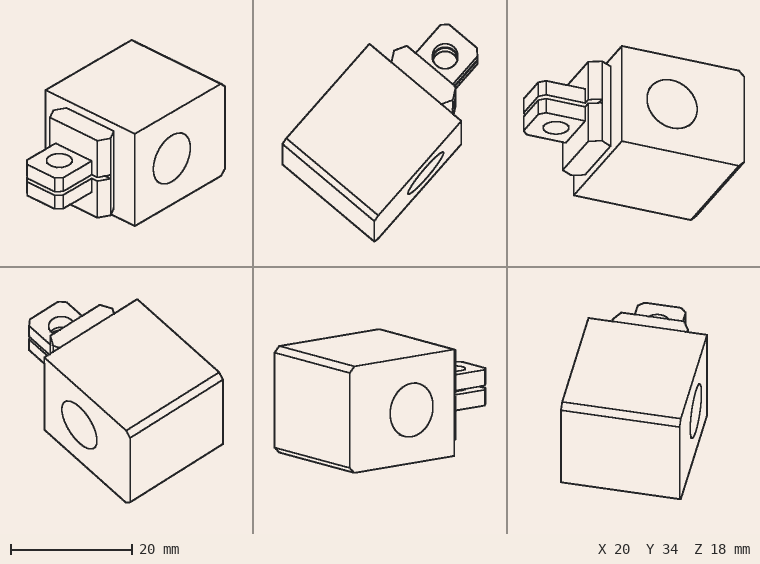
import cadquery as cq

body_width = 20.0
body_height = 18.0
body_length = 22.0
back_chamfer = 1.0
cross_hole_diameter = 9.0
cross_hole_to_back = 13.0

neck_width = 12.8
neck_length = 4.0
neck_height = 15.03
neck_bevel = 1.1

total_length = 34.0
tab_width = 8.1
tab_height = 6.05
tab_chamfer = 1.0
tab_hole_diameter = 4.2
tab_hole_to_tip = 4.5
slot_height = 0.7

tip_y = body_length - total_length
neck_middle_y = -neck_length / 2
tab_length = total_length - body_length - neck_length


def make_body():
    """Block with chamfered back edges and a round hole through along X."""
    block = cq.Workplane("XY").box(
        body_width, body_length, body_height, centered=(True, False, True)
    )
    block = block.faces(">Y").edges("|X").chamfer(back_chamfer)
    cross_hole = (
        cq.Workplane("YZ")
        .center(body_length - cross_hole_to_back, 0)
        .circle(cross_hole_diameter / 2)
        .extrude(body_width, both=True)
    )
    return block.cut(cross_hole)


def make_neck():
    """Hexagonal prism whose side points lie halfway along its length."""
    half_width = neck_width / 2
    half_flat = half_width - neck_bevel
    outline = [
        (-half_flat, 0),
        (-half_width, neck_middle_y),
        (-half_flat, -neck_length),
        (half_flat, -neck_length),
        (half_width, neck_middle_y),
        (half_flat, 0),
    ]
    return cq.Workplane("XY").polyline(outline).close().extrude(neck_height / 2, both=True)


def make_tab():
    """Flat tab with chamfered tip corners and a vertical pin hole."""
    tab = cq.Workplane("XY").box(
        tab_width, tab_length, tab_height, centered=(True, False, True)
    )
    tab = tab.translate((0, tip_y, 0))
    tab = tab.faces("<Y").edges("|Z").chamfer(tab_chamfer)
    pin_hole = (
        cq.Workplane("XY")
        .center(0, tip_y + tab_hole_to_tip)
        .circle(tab_hole_diameter / 2)
        .extrude(tab_height, both=True)
    )
    return tab.cut(pin_hole)


def make_slot():
    """Horizontal gap from the tab tip to the middle of the neck."""
    slot = cq.Workplane("XY").box(
        neck_width, neck_middle_y - tip_y, slot_height, centered=(True, False, True)
    )
    return slot.translate((0, tip_y, 0))


result = make_body().union(make_neck()).union(make_tab()).cut(make_slot())